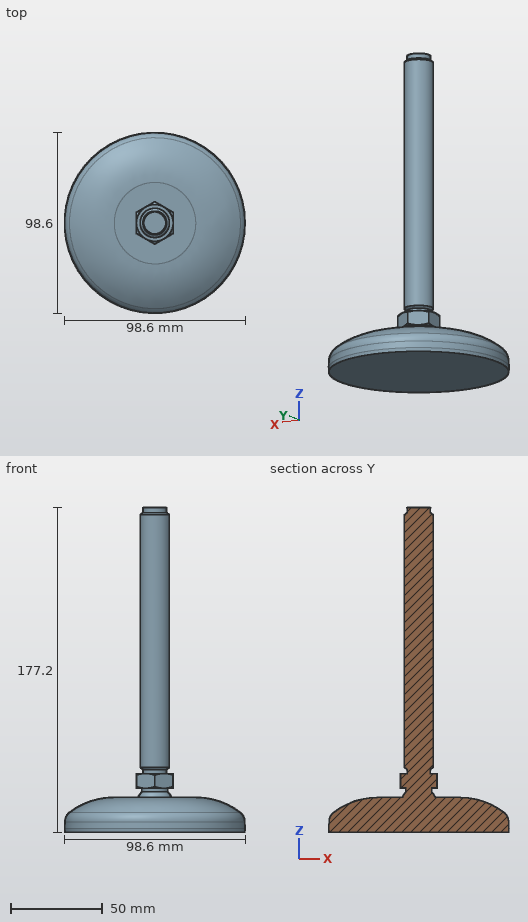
import cadquery as cq
import math

total_height = 177.2

plate_diameter = 98.2
rim_diameter = 98.62
rim_height = 2.2
plate_height = 19.2
flat_diameter = 44.5
dome_radius = 40.0
edge_radius = 6.3

ball_diameter = 20.0
neck_diameter = 14.3
neck_bottom = 22.1

nut_bottom = 24.1
nut_height = 8.0
nut_across_flats = 20.0
nut_chamfer_diameter = nut_across_flats
nut_chamfer_angle = math.radians(30)

rod_diameter = 16.0
relief_diameter = 13.0
relief_height = 2.15
tip_length = 2.8
tip_chamfer_width = 0.5
tip_chamfer_height = 0.3
rod_chamfer_height = 1.2


def revolve_about_z(profile):
    """Turn a closed half profile, drawn in the XZ plane, about the Z axis."""
    return profile.revolve(360, (0, 0, 0), (0, 1, 0))


def arc_point(center_x, center_z, radius, angle):
    """Point on an arc in the XZ plane, with the angle measured from +Z toward +X."""
    return (center_x + radius * math.sin(angle), center_z + radius * math.cos(angle))


def make_plate():
    """Slightly flared rim, rounded edge, dome and flat top."""
    plate_radius = plate_diameter / 2
    flat_radius = flat_diameter / 2
    dome_center_z = plate_height - dome_radius

    edge_center_x = plate_radius - edge_radius
    center_distance = dome_radius - edge_radius
    dome_angle = math.asin((edge_center_x - flat_radius) / center_distance)
    edge_center_z = dome_center_z + center_distance * math.cos(dome_angle)
    edge_mid_angle = (dome_angle + math.pi / 2) / 2

    shoulder = arc_point(flat_radius, dome_center_z, dome_radius, dome_angle)
    dome_mid = arc_point(flat_radius, dome_center_z, dome_radius, dome_angle / 2)
    edge_mid = arc_point(edge_center_x, edge_center_z, edge_radius, edge_mid_angle)
    profile = (
        cq.Workplane("XZ")
        .lineTo(plate_radius, 0)
        .lineTo(rim_diameter / 2, rim_height)
        .lineTo(plate_radius, edge_center_z)
        .threePointArc(edge_mid, shoulder)
        .threePointArc(dome_mid, (flat_radius, plate_height))
        .lineTo(0, plate_height)
        .close()
    )
    return revolve_about_z(profile)


def make_stem():
    """Turned stem: ball, neck, relief groove, rod and reduced tip."""
    rod_bottom = nut_bottom + nut_height + relief_height
    tip_bottom = total_height - tip_length

    ball_radius = ball_diameter / 2
    neck_radius = neck_diameter / 2
    neck_angle = math.asin(neck_radius / ball_radius)
    ball_center_z = neck_bottom - ball_radius * math.cos(neck_angle)
    ball_side = arc_point(0, ball_center_z, ball_radius, math.pi / 2)
    ball_mid = arc_point(0, ball_center_z, ball_radius, (neck_angle + math.pi / 2) / 2)
    profile = (
        cq.Workplane("XZ")
        .moveTo(0, ball_center_z)
        .lineTo(*ball_side)
        .threePointArc(ball_mid, (neck_radius, neck_bottom))
        .lineTo(neck_radius, nut_bottom)
        .lineTo(relief_diameter / 2, nut_bottom)
        .lineTo(relief_diameter / 2, rod_bottom)
        .lineTo(rod_diameter / 2, rod_bottom + rod_chamfer_height)
        .lineTo(rod_diameter / 2, tip_bottom - rod_chamfer_height)
        .lineTo(relief_diameter / 2, tip_bottom)
        .lineTo(relief_diameter / 2, total_height - tip_chamfer_height)
        .lineTo(relief_diameter / 2 - tip_chamfer_width, total_height)
        .lineTo(0, total_height)
        .close()
    )
    return revolve_about_z(profile)


def make_nut():
    """Hexagon whose corners are chamfered conically at both ends."""
    corner_diameter = nut_across_flats / math.cos(math.pi / 6)
    chamfer_width = (corner_diameter - nut_chamfer_diameter) / 2
    chamfer_height = chamfer_width * math.tan(nut_chamfer_angle)
    hexagon = (
        cq.Workplane("XY")
        .polygon(6, corner_diameter)
        .extrude(nut_height)
        .rotate((0, 0, 0), (0, 0, 1), 30)
    )
    envelope = (
        cq.Workplane("XY")
        .circle(corner_diameter / 2)
        .extrude(nut_height)
        .edges()
        .chamfer(chamfer_height, chamfer_width)
    )
    return hexagon.intersect(envelope).translate((0, 0, nut_bottom))


result = make_plate().union(make_stem()).union(make_nut())